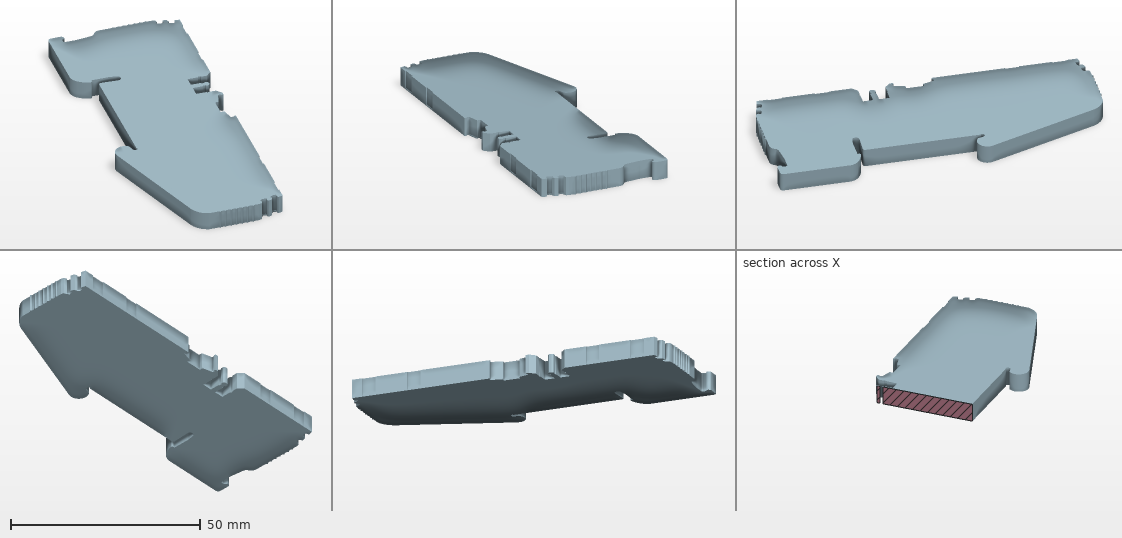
import cadquery as cq
import math

LENGTH = 91.5
WIDTH = 36.05
THICKNESS = 5.1
BASE_THICKNESS = 0.3
RELIEF = 0.3
OVERSHOOT = 0.9

FLANK_INSET = 0.32
SHOULDER_Y = 28.9
TOP_INSET = 2.2
LEFT_FLANK_BOTTOM = 14.0
RIGHT_FLANK_BOTTOM = 15.0

WAIST_BULGE_MID = (0.7, 13.0)
WAIST_BULGE_END = (1.8, 12.3)
WAIST_TURN_MID = (2.1, 11.7)
WAIST_TURN_END = (2.3, 11.0)
WAIST_BEND = (2.6, 8.8)
WAIST_BOTTOM_Y = 7.1

RIDGE_COUNT = 7
RIDGE_PITCH = 1.52
RIDGE_TOP_Y = 27.2
RIDGE_WIDTH = 0.7

NOTCH_COUNT = 2
NOTCH_STEP = (-0.8, -3.0)
NOTCH_OUTLINE = [(0.9, 34.95), (1.9, 34.7), (2.65, 34.4), (2.8, 33.6), (2.2, 33.0), (1.4, 32.8), (0.55, 32.8)]
UNDERCUT_OUTLINE = [(2.3, 34.4), (3.1, 34.5), (3.1, 33.6), (2.7, 32.8), (2.2, 32.8)]

FOOT_CORNER_RADIUS = 0.9
FOOT_LIP_Y = 4.4
FOOT_LIP_ROUNDING = 0.8
FOOT_LIP_END = 1.0
FOOT_POCKET_LEFT = 1.5
FOOT_POCKET_RIGHT = 2.7
FOOT_POCKET_Y = 3.6
FOOT_POCKET_CHAMFER = 0.4
FOOT_BOTTOM_END = 19.0
FOOT_HEEL_MID = (20.2, 0.4)
FOOT_HEEL_END = (21.2, 1.1)
FOOT_TOE_MID = (22.2, 2.6)
FOOT_TOE_END = (22.9, 4.6)
FOOT_TOE_ROUNDING = 0.4
RAIL_SLOT_LEFT = 22.05
RAIL_SLOT_RIGHT = 24.0
RAIL_SLOT_TOP = 12.7
RAIL_SLOT_LEAN = 0.3
RAIL_SLOT_STRAIGHT_TOP = 10.1
RAIL_SEAT_Y = 6.3
RAIL_SEAT_ROUNDING = 0.6

HOOK_CENTER = (56.9, 3.1)
HOOK_RADIUS = 2.8
HOOK_THROAT_START = (56.0, 6.6)
HOOK_THROAT_MID = (56.8, 6.0)
HOOK_THROAT_END = (56.4, 5.2)
HOOK_NOSE_START = (54.7, 4.8)
SLOPE_END = (87.75, 11.1)
SLOPE_CORNER_MID = (89.8, 12.4)

WELL_LEFT = 29.5
WELL_RIGHT = 36.7
WELL_FLOOR = 29.3
WELL_SHOULDER_Y = 34.7
WELL_CHAMFER = 1.5
WELL_RIGHT_LEAN = 0.2
PIN_LEFT = 32.2
PIN_RIGHT = 33.9
PIN_TOP = 34.1
PIN_CHAMFER = 0.5
GROOVE_Y = 32.6
GROOVE_DEPTH = 0.3
GROOVE_HEIGHT = 0.7

MARKER_CENTER_X = 44.5
MARKER_MOUTH_HALF = 5.2
MARKER_UNDERCUT_HALF = 5.5
MARKER_LIP_Y = 35.5
MARKER_SLOPE_TOP_Y = 34.9
MARKER_SLOPE_END_Y = 34.0
MARKER_FLOOR_HALF = 2.4
MARKER_FLOOR_Y = 33.0

RECESS_STARTS = (5.1, 18.0)
RECESS_LENGTH = 3.8


def prism(points, bottom=0.0):
    """Polygon raised from the given height to the top face."""
    return cq.Workplane("XY").workplane(offset=bottom).polyline(points).close().extrude(THICKNESS - bottom)


def block(x_min, x_max, y_min, y_max, bottom=0.0):
    """Rectangular prism raised from the given height to the top face."""
    return prism([(x_min, y_min), (x_max, y_min), (x_max, y_max), (x_min, y_max)], bottom)


def mirrored(points):
    """Points reflected about the middle of the length."""
    return [(LENGTH - x, y) for x, y in points]


def plain_housing():
    """Housing with foot, rail slot and hook, before the top edge and ends are cut."""
    hook_x, hook_y = HOOK_CENTER
    center_distance = math.dist(HOOK_CENTER, SLOPE_END)
    center_line_angle = math.atan2(SLOPE_END[1] - hook_y, SLOPE_END[0] - hook_x)
    slope_angle = center_line_angle + math.asin(HOOK_RADIUS / center_distance)
    slope_start = (
        hook_x + HOOK_RADIUS * math.sin(slope_angle),
        hook_y - HOOK_RADIUS * math.cos(slope_angle),
    )
    slot_radius = (RAIL_SLOT_RIGHT - RAIL_SLOT_LEFT) / 2
    slot_shoulder = RAIL_SLOT_TOP - slot_radius
    toe_top = FOOT_TOE_END[1] + FOOT_TOE_ROUNDING

    outline = (
        cq.Workplane("XY")
        .moveTo(TOP_INSET, WIDTH)
        .lineTo(FLANK_INSET, SHOULDER_Y)
        .lineTo(FLANK_INSET, LEFT_FLANK_BOTTOM)
        .threePointArc(WAIST_BULGE_MID, WAIST_BULGE_END)
        .threePointArc(WAIST_TURN_MID, WAIST_TURN_END)
        .lineTo(*WAIST_BEND)
        .lineTo(FOOT_POCKET_RIGHT, WAIST_BOTTOM_Y)
        .lineTo(FOOT_POCKET_RIGHT, FOOT_POCKET_Y + FOOT_POCKET_CHAMFER)
        .lineTo(FOOT_POCKET_RIGHT - FOOT_POCKET_CHAMFER, FOOT_POCKET_Y)
        .lineTo(FOOT_POCKET_LEFT, FOOT_POCKET_Y)
        .lineTo(FOOT_LIP_END, FOOT_LIP_Y)
        .lineTo(FOOT_LIP_ROUNDING, FOOT_LIP_Y)
        .radiusArc((0, FOOT_LIP_Y - FOOT_LIP_ROUNDING), -FOOT_LIP_ROUNDING)
        .lineTo(0, FOOT_CORNER_RADIUS)
        .radiusArc((FOOT_CORNER_RADIUS, 0), -FOOT_CORNER_RADIUS)
        .lineTo(FOOT_BOTTOM_END, 0)
        .threePointArc(FOOT_HEEL_MID, FOOT_HEEL_END)
        .threePointArc(FOOT_TOE_MID, FOOT_TOE_END)
        .radiusArc((FOOT_TOE_END[0] - FOOT_TOE_ROUNDING, toe_top), -FOOT_TOE_ROUNDING)
        .lineTo(RAIL_SLOT_LEFT, toe_top)
        .lineTo(RAIL_SLOT_LEFT, RAIL_SLOT_STRAIGHT_TOP)
        .lineTo(RAIL_SLOT_LEFT + RAIL_SLOT_LEAN, slot_shoulder)
        .threePointArc(
            (RAIL_SLOT_LEFT + RAIL_SLOT_LEAN + slot_radius, RAIL_SLOT_TOP),
            (RAIL_SLOT_RIGHT + RAIL_SLOT_LEAN, slot_shoulder),
        )
        .lineTo(RAIL_SLOT_RIGHT, RAIL_SEAT_Y + RAIL_SEAT_ROUNDING)
        .radiusArc((RAIL_SLOT_RIGHT + RAIL_SEAT_ROUNDING, RAIL_SEAT_Y), -RAIL_SEAT_ROUNDING)
        .lineTo(HOOK_THROAT_START[0], RAIL_SEAT_Y)
        .lineTo(*HOOK_THROAT_START)
        .threePointArc(HOOK_THROAT_MID, HOOK_THROAT_END)
        .lineTo(*HOOK_NOSE_START)
        .threePointArc((hook_x - HOOK_RADIUS, hook_y), slope_start)
        .lineTo(*SLOPE_END)
        .threePointArc(SLOPE_CORNER_MID, (LENGTH - FLANK_INSET, RIGHT_FLANK_BOTTOM))
        .lineTo(LENGTH - FLANK_INSET, SHOULDER_Y)
        .lineTo(LENGTH - TOP_INSET, WIDTH)
        .close()
    )
    return outline.extrude(THICKNESS)


def add_ridges(body):
    """Row of small triangular grip ridges on each flank."""
    for index in range(RIDGE_COUNT):
        y = RIDGE_TOP_Y - index * RIDGE_PITCH
        ridge = [
            (OVERSHOOT, y + RIDGE_WIDTH / 2),
            (FLANK_INSET, y + RIDGE_WIDTH / 2),
            (0, y),
            (FLANK_INSET, y - RIDGE_WIDTH / 2),
            (OVERSHOOT, y - RIDGE_WIDTH / 2),
        ]
        body = body.union(prism(ridge)).union(prism(mirrored(ridge)))
    return body


def cut_latch_notches(body):
    """Two stepped notches in each leaning end, undercut above the base layer."""
    for index in range(NOTCH_COUNT):
        shift_x = index * NOTCH_STEP[0]
        shift_y = index * NOTCH_STEP[1]
        for points, bottom in ((NOTCH_OUTLINE, 0.0), (UNDERCUT_OUTLINE, BASE_THICKNESS)):
            placed = [(x + shift_x, y + shift_y) for x, y in points]
            body = body.cut(prism(placed, bottom)).cut(prism(mirrored(placed), bottom))
    return body


def cut_pin_well(body):
    """Chamfered well with a free-standing pin and a small groove in each wall."""
    top = WIDTH + OVERSHOOT
    right_shoulder = WELL_RIGHT + WELL_RIGHT_LEAN
    chamfer_run = WELL_CHAMFER + OVERSHOOT
    well = prism([
        (WELL_LEFT, WELL_FLOOR),
        (WELL_RIGHT, WELL_FLOOR),
        (right_shoulder, WELL_SHOULDER_Y),
        (right_shoulder + chamfer_run, top),
        (WELL_LEFT - chamfer_run, top),
        (WELL_LEFT, WELL_SHOULDER_Y),
    ])
    pin = block(PIN_LEFT, PIN_RIGHT, WELL_FLOOR - OVERSHOOT, PIN_TOP).edges("|Z and >Y").chamfer(PIN_CHAMFER)
    body = body.cut(well).union(pin)
    for wall_x in (WELL_LEFT, PIN_LEFT, PIN_RIGHT, WELL_RIGHT):
        body = body.cut(block(
            wall_x - GROOVE_DEPTH, wall_x + GROOVE_DEPTH,
            GROOVE_Y - GROOVE_HEIGHT / 2, GROOVE_Y + GROOVE_HEIGHT / 2,
        ))
    return body


def cut_marker_seat(body):
    """Undercut seat with sloped sides and a flat floor, cut deeper above the base layer."""
    half = [
        (MARKER_FLOOR_HALF, MARKER_FLOOR_Y),
        (MARKER_FLOOR_HALF, MARKER_SLOPE_END_Y),
        (MARKER_UNDERCUT_HALF, MARKER_SLOPE_TOP_Y),
        (MARKER_UNDERCUT_HALF, MARKER_LIP_Y),
        (MARKER_MOUTH_HALF, MARKER_LIP_Y),
        (MARKER_MOUTH_HALF, WIDTH + OVERSHOOT),
    ]
    right = [(MARKER_CENTER_X + x, y) for x, y in half]
    left = [(MARKER_CENTER_X - x, y) for x, y in reversed(half)]
    seat = prism(right + left)
    deeper = prism([(x, y - RELIEF) for x, y in right + left], BASE_THICKNESS)
    return body.cut(seat).cut(deeper)


def cut_top_recesses(body):
    """Shallow recesses in the top edge that leave the base layer whole."""
    for start in RECESS_STARTS:
        for x in (start, LENGTH - start - RECESS_LENGTH):
            body = body.cut(block(x, x + RECESS_LENGTH, WIDTH - RELIEF, WIDTH + OVERSHOOT, BASE_THICKNESS))
    return body


result = plain_housing()
result = add_ridges(result)
result = cut_latch_notches(result)
result = cut_pin_well(result)
result = cut_marker_seat(result)
result = cut_top_recesses(result)